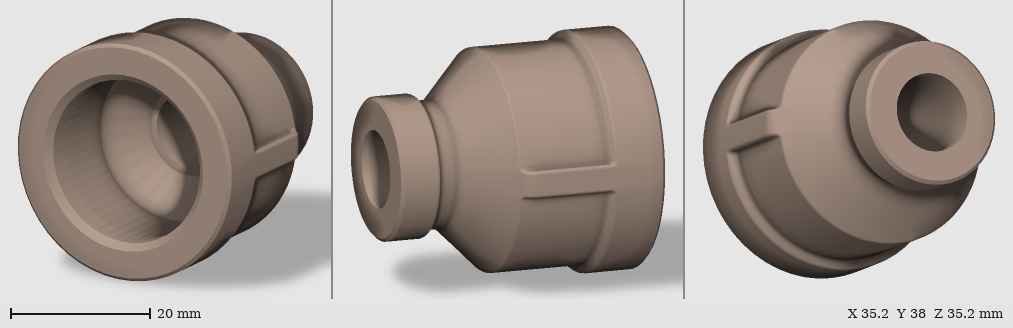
import cadquery as cq
import math

length = 38.0

collar_radius = 35.2 / 2
body_radius = 32.68 / 2
neck_radius = 18.7 / 2
head_radius = 21.0 / 2
collar_end = 7.6
body_start = 8.75
body_end = 21.95
head_start = 31.92
cone_end = 29.1
cone_angle = math.atan2(body_radius - neck_radius, cone_end - body_end)
rim_chamfer = 0.5
edge_round = 0.5
head_round = 0.6
neck_round = 0.38

rib_width = 4.0
rib_end_round = 2.5
rib_end = body_end - (collar_radius - body_radius) / math.tan(cone_angle)

socket_radius = 24.13 / 2
socket_mouth_radius = 26.22 / 2
socket_mouth_depth = socket_mouth_radius - socket_radius
socket_depth = 15.0
funnel_radius = 13.5 / 2
funnel_end = socket_depth + socket_radius - funnel_radius
bore_radius = 11.45 / 2

tolerance = 0.05


def revolved(outline):
    """Revolve a closed (z, y) outline about the Y axis."""
    return outline.close().revolve(360, (0, 0, 0), (0, 1, 0))


def outline_plane():
    """Plane with the radius along +Z, so that seams stay clear of the ribs."""
    return cq.Workplane(cq.Plane((0, 0, 0), (0, 0, 1), (-1, 0, 0)))


def turned(points):
    return revolved(outline_plane().polyline(points))


def make_blank():
    """Outside shape with the body still at collar radius, rounded into the cone."""
    tangent = rib_end_round * math.tan(cone_angle / 2)
    arc_start = (collar_radius, rib_end - tangent)
    arc_middle = (
        collar_radius - rib_end_round * (1 - math.cos(cone_angle / 2)),
        rib_end - tangent + rib_end_round * math.sin(cone_angle / 2),
    )
    arc_end = (
        collar_radius - tangent * math.sin(cone_angle),
        rib_end + tangent * math.cos(cone_angle),
    )
    return revolved(
        outline_plane()
        .moveTo(0, 0)
        .lineTo(collar_radius - rim_chamfer, 0)
        .lineTo(collar_radius, rim_chamfer)
        .lineTo(*arc_start)
        .threePointArc(arc_middle, arc_end)
        .lineTo(neck_radius, cone_end)
        .lineTo(neck_radius, head_start)
        .lineTo(head_radius - head_round, head_start)
        .radiusArc((head_radius, head_start + head_round), -head_round)
        .lineTo(head_radius, length - rim_chamfer)
        .lineTo(head_radius - rim_chamfer, length)
        .lineTo(0, length)
    )


def make_recess():
    """Ring that lowers the collar radius to the body radius, broken by the ribs."""
    rise = collar_radius - body_radius
    run = body_start - collar_end
    outer_radius = body_radius + 2 * rise
    ring = turned([
        (body_radius, body_start),
        (outer_radius, body_start - 2 * run),
        (outer_radius, cone_end),
        (body_radius, cone_end),
    ])
    halves = ring.cut(cq.Workplane("XY").box(2 * length, 2 * length, rib_width))

    def is_floor_edge(edge):
        """True for edges that become inside corners of the part."""
        middle = edge.positionAt(0.5)
        radius = math.hypot(middle.x, middle.z)
        return radius < outer_radius - tolerance and middle.y < body_end

    floor_edges = [edge for edge in halves.edges().vals() if is_floor_edge(edge)]
    return halves.newObject(floor_edges).fillet(edge_round)


def ring_edges(start, end, radius):
    """Selector for edges lying between two y positions and within a radius."""
    reach = radius + tolerance
    return cq.selectors.BoxSelector(
        (-reach, start - tolerance, -reach),
        (reach, end + tolerance, reach),
        boundingbox=True,
    )


def make_bore():
    return turned([
        (0, 0),
        (socket_mouth_radius, 0),
        (socket_radius, socket_mouth_depth),
        (socket_radius, socket_depth),
        (funnel_radius, funnel_end),
        (bore_radius, funnel_end),
        (bore_radius, length),
        (0, length),
    ])


outside = make_blank().cut(make_recess())
outside = outside.edges(ring_edges(body_end, body_end, collar_radius)).fillet(edge_round)
outside = outside.edges(ring_edges(cone_end, cone_end, neck_radius)).fillet(neck_round)
outside = outside.edges(ring_edges(head_start, head_start, neck_radius)).fillet(neck_round)

result = outside.cut(make_bore())